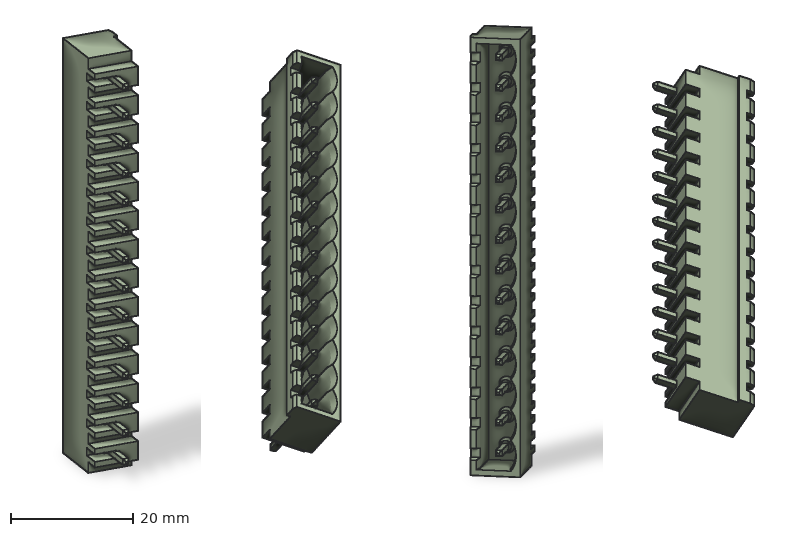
import cadquery as cq


pin_count = 14
pitch = 5.08
height = 73.1
body_depth = 9.7
foot_depth = 12.2
body_width = 7.8
overlap = 0.4

ridge_top = 8.5
ridge_depth = 2.85
ridge_mouth_drop = 0.3
ridge_slope_depth = 0.9

cavity_depth = 8.4
cavity_top = 6.95
scallop_cusp = 1.9
scallop_sag = 0.9
bevel_width = 0.4
bevel_depth = 1.45

notch_mouth = 2.0
notch_floor = 1.5

foot_height = 3.3
slot_height = 1.3
slot_start = 9.1
slot_step = 9.6
slot_step_y = 2.9

pin_y = 3.9
pin_size = 1.0
pin_tip_size = 0.4
pin_start = 1.0
mating_tip_length = 0.7
pin_end = 16.2
solder_tip_length = 0.6

collar_base_radius = 1.3
collar_top_radius = 0.95
collar_height = 1.1

row_half = pitch * (pin_count - 1) / 2
pin_levels = [height / 2 - row_half + i * pitch for i in range(pin_count)]
cavity_low = pin_levels[0] - pitch / 2
cavity_high = pin_levels[-1] + pitch / 2


def block(x_range, y_range, z_size):
    """Box over the given X and Y ranges, centred on Z = 0."""
    x0, x1 = x_range
    y0, y1 = y_range
    box = cq.Workplane("XY").box(x1 - x0, y1 - y0, z_size, centered=(False, False, True))
    return box.translate((x0, y0, 0))


def at_each_pin(feature):
    """Compound with one copy of the feature at every pin level."""
    copies = [feature.val().moved(cq.Location(cq.Vector(0, 0, level))) for level in pin_levels]
    return cq.Workplane("XY").newObject([cq.Compound.makeCompound(copies)])


def housing():
    """Outer shell: body with the sloped latch ridge along its mouth."""
    profile = [
        (0, 0),
        (body_depth, 0),
        (body_depth, body_width),
        (ridge_depth, body_width),
        (ridge_depth, ridge_top),
        (ridge_slope_depth, ridge_top),
        (0, ridge_top - ridge_mouth_drop),
    ]
    return cq.Workplane("XY").polyline(profile).close().extrude(height)


def cavity_section(workplane, growth):
    """Cavity outline with its +Y side and its scalloped -Y side moved outwards by growth."""
    top = cavity_top + growth
    cusp = scallop_cusp - growth
    outline = workplane.moveTo(top, cavity_low).lineTo(cusp, cavity_low)
    for level in pin_levels:
        outline = outline.threePointArc((cusp - scallop_sag, level), (cusp, level + pitch / 2))
    return outline.lineTo(top, cavity_high).close()


def cavity():
    straight = cavity_section(cq.Workplane("YZ"), 0).extrude(cavity_depth)
    mouth = cavity_section(cq.Workplane("YZ"), bevel_width).workplane(offset=bevel_depth)
    return straight.union(cavity_section(mouth, 0).loft(ruled=True))


def latch_notch():
    """Notch through the +Y wall, narrowing in Z from the mouth inwards."""
    profile = [
        (0, -notch_mouth / 2),
        (bevel_depth, -notch_floor / 2),
        (bevel_depth, notch_floor / 2),
        (0, notch_mouth / 2),
    ]
    notch = cq.Workplane("XZ", origin=(0, ridge_top, 0)).polyline(profile).close()
    return notch.extrude(ridge_top - cavity_top)


def foot():
    return block((body_depth - overlap, foot_depth), (0, body_width), foot_height)


def foot_slot():
    """Slot open to -Y, stepped back just in front of the pin."""
    front = block((slot_start, foot_depth), (0, slot_step_y), slot_height)
    back = block((slot_step, foot_depth), (slot_step_y, pin_y), slot_height)
    return front.union(back)


def pin_piece(x0, size0, x1, size1):
    """Length of pin along X between two square sections."""
    start = cq.Workplane("YZ", origin=(x0, pin_y, 0)).rect(size0, size0)
    return start.workplane(offset=x1 - x0).rect(size1, size1).loft(ruled=True)


def pin():
    """Square pin with a pyramid tip at both ends, and a conical collar at the cavity floor."""
    shaft_start = pin_start + mating_tip_length
    shaft_end = pin_end - solder_tip_length
    collar_base = cq.Workplane("YZ", origin=(cavity_depth, pin_y, 0)).circle(collar_base_radius)
    collar = collar_base.workplane(offset=-collar_height).circle(collar_top_radius).loft()
    return (
        pin_piece(shaft_start, pin_size, shaft_end, pin_size)
        .union(pin_piece(pin_start, pin_tip_size, shaft_start, pin_size))
        .union(pin_piece(shaft_end, pin_size, pin_end, pin_tip_size))
        .union(collar)
    )


result = housing().union(at_each_pin(foot()))
result = result.cut(cavity()).cut(at_each_pin(latch_notch())).cut(at_each_pin(foot_slot()))
result = result.union(at_each_pin(pin()))